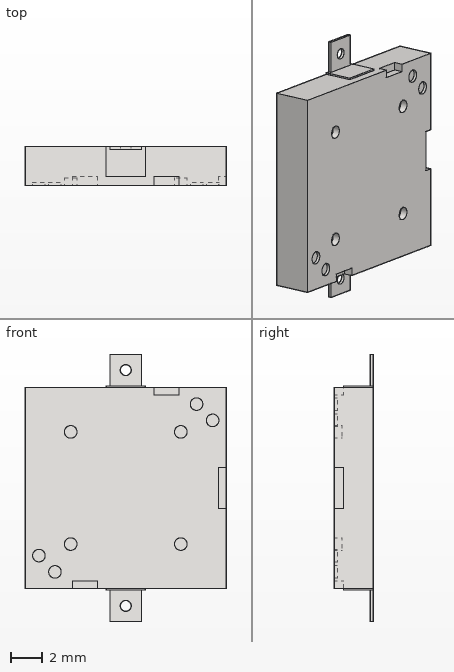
import cadquery as cq

body_side = 12.8
body_depth = 2.5
front_y = -body_depth / 2
back_y = body_depth / 2

overall_height = 17.0
foot_width = 2.5
foot_depth = 1.9
foot_thickness = 0.1
lug_width = 2.0
lug_thickness = 0.2
lug_hole_diameter = 0.68
lug_hole_z = 7.5

blind_diameter = 0.8
inner_hole_depth = 0.5
corner_hole_depth = 0.2
inner_hole_x = 3.5
inner_hole_z = 3.57
corner_holes = [(4.5, 5.34), (5.52, 4.3)]

notch_inset = 0.5
notch_depth = 0.6
end_notch_width = 1.6
end_notch_x = 2.6
side_notch_height = 2.6


def block(width, depth, height, x, y_start, z):
    """Box centred on x and z, running in +Y from y_start."""
    return cq.Workplane("XY").box(width, depth, height).translate((x, y_start + depth / 2, z))


def front_holes(points, diameter, depth):
    """Cylinders at (x, z) points, running from the front face into the part."""
    plane = cq.Workplane("XZ", origin=(0, front_y, 0))
    return plane.pushPoints(points).circle(diameter / 2).extrude(-depth)


def terminal(side):
    """Terminal on the top (side = 1) or bottom (side = -1) end."""
    end_z = body_side / 2
    lug_height = overall_height / 2 - end_z
    foot = block(foot_width, foot_depth, foot_thickness, 0, back_y - foot_depth,
                 side * (end_z + foot_thickness / 2))
    lug = block(lug_width, lug_thickness, lug_height, 0, back_y - lug_thickness,
                side * (end_z + lug_height / 2))
    hole = front_holes([(0, side * lug_hole_z)], lug_hole_diameter, body_depth)
    return foot.union(lug).cut(hole)


result = cq.Workplane("XY").box(body_side, body_depth, body_side)

inner_points = [(i * inner_hole_x, k * inner_hole_z) for i in (-1, 1) for k in (-1, 1)]
corner_points = [(side * x, side * z) for side in (-1, 1) for x, z in corner_holes]
result = result.cut(front_holes(inner_points, blind_diameter, inner_hole_depth))
result = result.cut(front_holes(corner_points, blind_diameter, corner_hole_depth))

notch_centre = (body_side - notch_inset) / 2
for side in (-1, 1):
    result = result.cut(block(end_notch_width, notch_depth, notch_inset,
                              side * end_notch_x, front_y, side * notch_centre))
result = result.cut(block(notch_inset, notch_depth, side_notch_height, notch_centre, front_y, 0))

for side in (-1, 1):
    result = result.union(terminal(side))